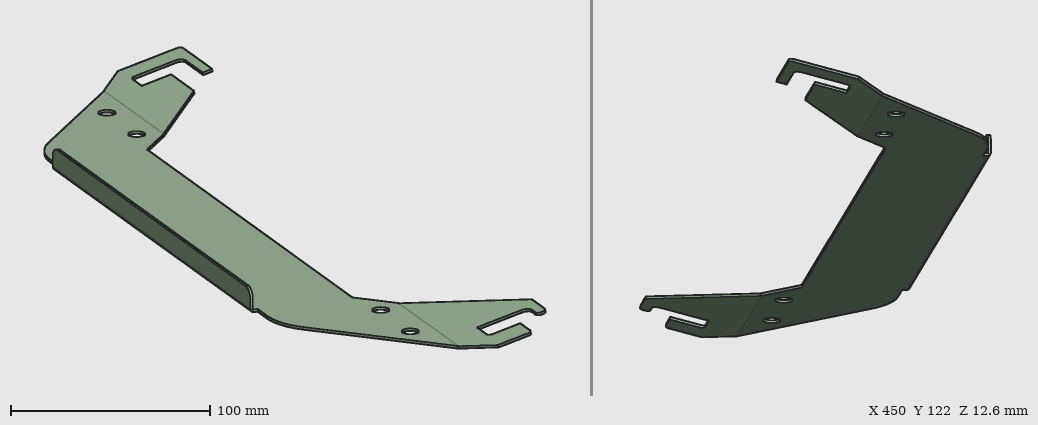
import cadquery as cq
import math

length = 450.0
depth = 122.0
height = 12.5
thickness = 1.5
half_length = length / 2

plate_front = 4.0
plate_inner_edge = 54.5
inner_corner_x = 121.5
outer_corner_x = 141.8
outer_corner_radius = 32.5
bend_y = 72.0

inner_bend_x = inner_corner_x + bend_y - plate_inner_edge
outer_bend_x = outer_corner_x + bend_y - plate_front

hole_diameter = 8.5
hole_y = 59.5
hole_xs = (144.5, 179.5)

flange_length = 234.0
flange_corner_radius = 5.5
flange_bend_radius = 2.2

flap_angle = 12.6
flap_length = (depth - bend_y) / math.cos(math.radians(flap_angle))
finger_width = 5.5
finger_underside = flap_length - finger_width
slot_floor = 16.5
outer_wall_foot = half_length - outer_bend_x

left_slot_outer = -212.5
left_slot_inner = -199.5
left_finger_tip = -188.0
left_land = 33.5

right_slot_inner = 197.5
right_slot_outer = 211.0
right_finger_tip = 208.0
right_land = 34.5

finger_root_radius = 4.0
small_radius = 2.2


def make_plate():
    """Flat trapezoidal band with rounded front corners and four holes."""
    outline = [
        (-outer_corner_x, plate_front),
        (outer_corner_x, plate_front),
        (outer_bend_x, bend_y),
        (inner_bend_x, bend_y),
        (inner_corner_x, plate_inner_edge),
        (-inner_corner_x, plate_inner_edge),
        (-inner_bend_x, bend_y),
        (-outer_bend_x, bend_y),
    ]
    plate = cq.Workplane("XY").polyline(outline).close().extrude(thickness)
    plate = plate.edges("|Z and <Y").fillet(outer_corner_radius)
    hole_points = [(side * x, hole_y) for side in (-1, 1) for x in hole_xs]
    holes = cq.Workplane("XY").pushPoints(hole_points).circle(hole_diameter / 2).extrude(thickness)
    return plate.cut(holes)


def make_flange():
    """Upright front flange with a rounded bend and rounded upper corners."""
    section = [
        (0, 0),
        (plate_front, 0),
        (plate_front, thickness),
        (thickness, thickness),
        (thickness, height),
        (0, height),
    ]
    flange = cq.Workplane("YZ").polyline(section).close().extrude(flange_length / 2, both=True)
    flange = flange.edges("|X and <Y and <Z").fillet(flange_bend_radius)
    return flange.edges("|Y and >Z").fillet(flange_corner_radius)


def round_corners(sheet, corners, radius):
    """Round the sheet corners at the given points of the flap plane."""
    picked = []
    for x, v in corners:
        middle = flap_plane.toWorldCoords((x, v, thickness / 2))
        picked.append(sheet.edges(cq.selectors.NearestToPointSelector(middle.toTuple())).val())
    return sheet.newObject(picked).fillet(radius)


def make_hook(outline, root_corner, small_corners):
    """Inclined hook cut to the outline, with its rounded corners."""
    hook = cq.Workplane(flap_plane).polyline(outline).close().extrude(thickness)
    hook = round_corners(hook, [root_corner], finger_root_radius)
    return round_corners(hook, small_corners, small_radius)


flap_tilt = math.radians(flap_angle)
flap_plane = cq.Plane(
    origin=(0, bend_y, 0),
    xDir=(1, 0, 0),
    normal=(0, -math.sin(flap_tilt), math.cos(flap_tilt)),
)

left_top_corner = (-half_length, flap_length)
left_root_corner = (left_slot_outer, finger_underside)
left_floor_corner = (left_slot_outer, slot_floor)
left_hook = make_hook(
    [
        (-inner_bend_x, 0),
        (-outer_bend_x, 0),
        (-half_length, outer_wall_foot),
        left_top_corner,
        (left_finger_tip, flap_length),
        (left_finger_tip, finger_underside),
        left_root_corner,
        left_floor_corner,
        (left_slot_inner, slot_floor),
        (left_slot_inner, left_land),
        (-inner_bend_x - left_land, left_land),
    ],
    left_root_corner,
    [left_top_corner, left_floor_corner],
)

right_tip_corners = [(right_finger_tip, flap_length), (right_finger_tip, finger_underside)]
right_root_corner = (right_slot_inner, finger_underside)
right_floor_corner = (right_slot_outer, slot_floor)
right_land_corner = (half_length, right_land)
right_hook = make_hook(
    [
        (inner_bend_x, 0),
        (inner_bend_x + flap_length, flap_length),
        *right_tip_corners,
        right_root_corner,
        (right_slot_inner, slot_floor),
        right_floor_corner,
        (right_slot_outer, right_land),
        right_land_corner,
        (half_length, outer_wall_foot),
        (outer_bend_x, 0),
    ],
    right_root_corner,
    right_tip_corners + [right_floor_corner, right_land_corner],
)

result = make_plate().union(make_flange()).union(left_hook).union(right_hook)